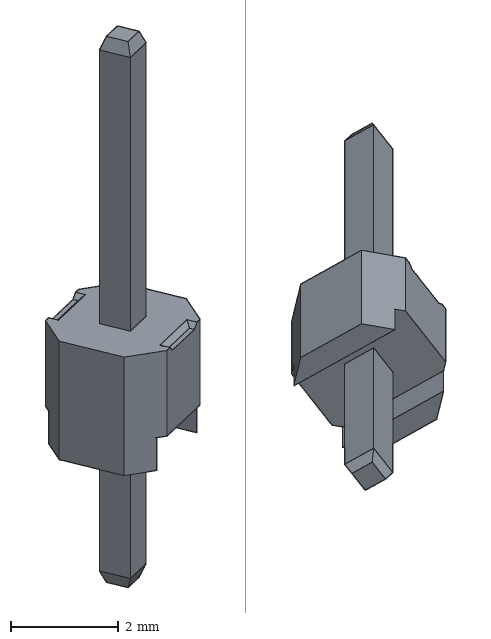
import cadquery as cq

pin_length = 11.6
pin_width = 0.65
pin_tip_width = 0.45
pin_tip_height = 0.27
pin_above_body = 6.08

body_width = 2.54
body_height = 2.52
corner_chamfer = 0.59

slot_width = 1.64
slot_height = 0.7

notch_depth = 0.1
notch_length = 1.1
notch_reach = 0.21

pin_top = pin_length / 2
body_top = pin_top - pin_above_body
body_bottom = body_top - body_height


def make_pin():
    """Square pin with a tapered tip at each end."""
    shaft_half = pin_length / 2 - pin_tip_height
    pin = cq.Workplane("XY").box(pin_width, pin_width, 2 * shaft_half)
    upper_tip = (
        cq.Workplane("XY", origin=(0, 0, shaft_half))
        .rect(pin_width, pin_width)
        .workplane(offset=pin_tip_height)
        .rect(pin_tip_width, pin_tip_width)
        .loft(ruled=True)
    )
    return pin.union(upper_tip).union(upper_tip.mirror("XY"))


def make_notch_cutter():
    """Tapered pocket in the top edge of a side face.

    The lofted pocket spans the side face symmetrically, so only its inner half cuts.
    """
    floor_width = 2 * (notch_reach - notch_depth)
    floor_length = notch_length - 2 * notch_depth
    return (
        cq.Workplane("XY", origin=(body_width / 2, 0, body_top - notch_depth))
        .rect(floor_width, floor_length)
        .workplane(offset=notch_depth)
        .rect(2 * notch_reach, notch_length)
        .loft(ruled=True)
    )


def make_body():
    """Octagonal housing, slotted underneath along X and notched on both X sides."""
    body = (
        cq.Workplane("XY", origin=(0, 0, body_bottom))
        .rect(body_width, body_width)
        .extrude(body_height)
        .edges("|Z")
        .chamfer(corner_chamfer)
    )
    slot = (
        cq.Workplane("XY", origin=(0, 0, body_bottom))
        .rect(body_width, slot_width)
        .extrude(slot_height)
    )
    notch = make_notch_cutter()
    return body.cut(slot).cut(notch).cut(notch.mirror("YZ"))


result = make_body().union(make_pin())